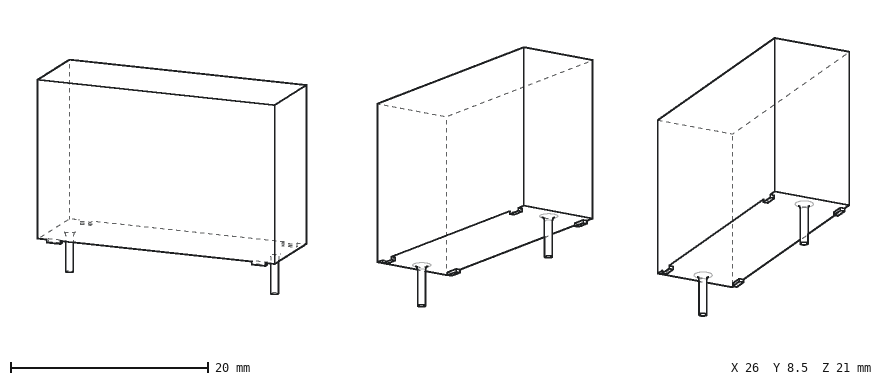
import cadquery as cq

body_length = 26.0
body_width = 8.5
overall_height = 21.0
pin_drop = 4.32
body_height = overall_height - pin_drop

pin_spacing = 22.5
pin_radius = 0.8 / 2
collar_radius = 0.52

foot_length = 1.5
foot_width = 0.5
foot_drop = 0.3

pin_positions = [-pin_spacing / 2, pin_spacing / 2]


def make_body():
    return cq.Workplane("XY").box(body_length, body_width, body_height, centered=(True, True, False))


def make_pin(x):
    """Lead with a quarter-round concave collar, revolved about its own axis."""
    collar_base_radius = pin_radius + collar_radius
    profile = (
        cq.Workplane("XZ")
        .moveTo(0, 0)
        .lineTo(collar_base_radius, 0)
        .radiusArc((pin_radius, -collar_radius), -collar_radius)
        .lineTo(pin_radius, -pin_drop)
        .lineTo(0, -pin_drop)
        .close()
    )
    return profile.revolve(360, (0, 0, 0), (0, 1, 0)).translate((x, 0, 0))


def make_foot(x, side):
    """Foot flush with the long face on the given side (-1 or 1 along Y)."""
    y = side * (body_width - foot_width) / 2
    return cq.Workplane("XY").box(foot_length, foot_width, foot_drop).translate((x, y, -foot_drop / 2))


result = make_body()
for pin_x in pin_positions:
    result = result.union(make_pin(pin_x))
    for foot_side in (-1, 1):
        result = result.union(make_foot(pin_x, foot_side))
result = result.clean()